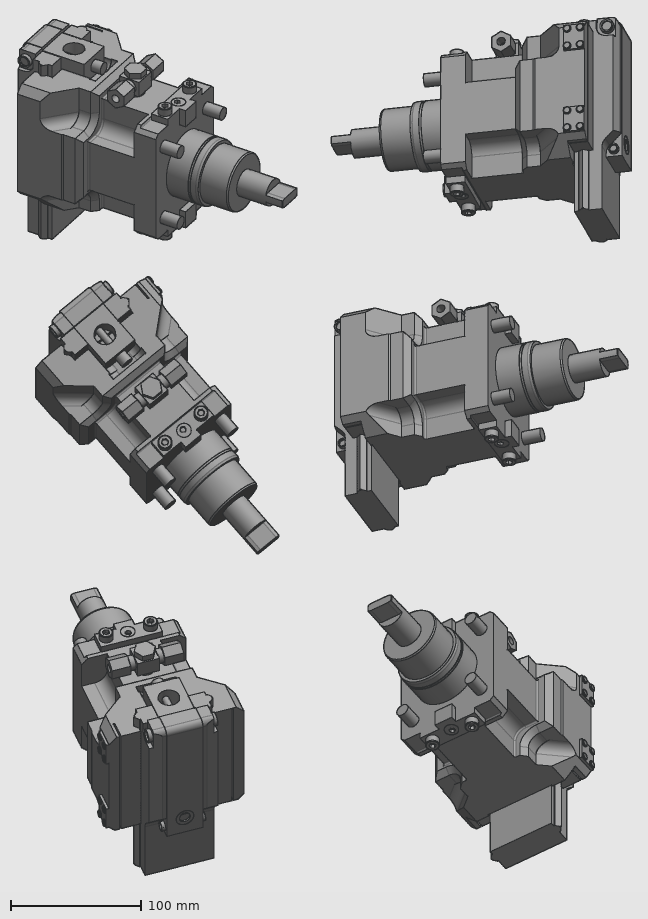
import cadquery as cq
import math


TOLERANCE = 0.01

PILOT_RADIUS = 27.2
PILOT_END = 28.3
PILOT_BEVEL = (2.0, 0.6)
GROOVE_START = 19.4
GROOVE_WIDTH = 1.8
GROOVE_DEPTH = 0.5
NOSE_RADIUS = 24.1
NOSE_END = 53.4
NOSE_BEVEL = (1.4, 0.7)
SHAFT_RADIUS = 11.1
SHAFT_END = 79.3
TANG_END = 94.55
TANG_HALF_THICKNESS = 3.9
TANG_FLAT_HALF_WIDTH = 7.8
TANG_EDGE_HALF_THICKNESS = 3.0
TANG_END_BEVEL = 0.5

BODY_HALF_WIDTH = 42.5
BODY_HALF_HEIGHT = 50.0
WAIST_NOTCH = 21.8
NOTCH_RADIUS = 10.2
WAIST_ROOT_RADIUS = 1.4
FLANGE_START = -19.5
FLANGE_STEP = -16.2
FLANGE_STEP_HALF_HEIGHT = 48.3
FLANGE_STEP_RADIUS = 0.7
FLANGE_BEVEL = 5.0

BOLT_RADIUS = 5.2
BOLT_Y = 31.3
BOLT_Z = 32.5
BOLT_END = 15.3

BAR_START = -14.8
BAR_HALF_WIDTH = 25.1
BAR_OUTER_HEIGHT = 53.9
TONGUE_END = 5.5
TONGUE_HALF_WIDTH = 7.7
TONGUE_DEPTH = 14.8
BAR_SCREW_X = -6.8
BAR_SCREW_Y = 18.1
BAR_SCREW_RADIUS = 5.4
BAR_SCREW_HEAD = 6.3
BAR_SCREW_BEVEL = 0.6
BAR_SCREW_SOCKET = 5.5
BAR_SCREW_SOCKET_DEPTH = 3.5
PLUG_X = -5.7
PLUG_RADIUS = 5.6
PLUG_RECESS = 0.3
PLUG_SOCKET = 5.0

HEAD_FRONT = -117.0
HEAD_STEP = -102.2
HEAD_BEND = -76.0
HEAD_BEVEL_START = -65.5
HEAD_END = -60.7
HEAD_HALF_WIDTH = 55.0
HEAD_REAR_HALF_WIDTH = 54.2
HEAD_TAPER_START = -77.5
HEAD_TOP = 60.0
HEAD_BOTTOM = -BODY_HALF_HEIGHT
HEAD_FRONT_BOTTOM = -40.2
HEAD_TOP_BEVEL = 6.3
HEAD_BOTTOM_BEVEL = 14.5
HEAD_END_BEVEL = HEAD_END - HEAD_BEVEL_START
HEAD_NOTCH_Y = 31.3
HEAD_NOTCH_Z = 30.0
HEAD_NOTCH_FRONT = -96.5
FLARE_RADIUS = 8.1
NOTCH_OVERSHOOT = 15.0
SLIT_Y = 45.7
SLIT_WIDTH = 1.2
SLIT_SKIN = 1.0

SLIDE_FRONT = -124.0
SLIDE_BACK = HEAD_STEP
SLIDE_TOP = 69.7
SLIDE_BOTTOM = -90.0
SLIDE_HALF_WIDTH = 28.1
RIDGE_X = -109.7
RIDGE_HALF_LENGTH = 4.0
RIDGE_HEIGHT = 3.3
RIDGE_END_BEVEL = 1.0
SLOT_HALF_WIDTH = 29.1
SLOT_END = -101.0

COVER_FRONT = -136.5
COVER_BACK = -119.2
COVER_TOP = 73.0
COVER_SIDE_TOP = 72.5
COVER_EDGE_RADIUS = 5.0
COVER_FACE_X = -135.6
COVER_FACE_HALF_WIDTH = 18.0
COVER_SIDE_X = -132.8
COVER_UNDERSIDE_Z = -33.6
COVER_UNDERSIDE_RADIUS = 8.9
BAND_HALF_WIDTH = 14.8
BAND_BOTTOM = -40.4
BAND_SCREW_Z = -25.1
BAND_BORE_RADIUS = 7.2
BAND_BORE_DEPTH = 0.3
BAND_SOCKET_RADIUS = 4.4
BAND_SOCKET_DEPTH = 1.5
TOP_SCREW_X = -127.6
TOP_SCREW_Z = 64.4
TOP_SCREW_RADIUS = 5.3
TOP_SCREW_SOCKET_RADIUS = 4.0
RECESS_RADIUS = COVER_BACK - TOP_SCREW_X
RECESS_Y = 24.6
LOW_SCREW_X = -130.2
LOW_SCREW_Z = -34.7
LOW_SCREW_RADIUS = 3.9
LOW_SCREW_HEAD = 3.0
LOW_SCREW_SOCKET_RADIUS = 2.9
SIDE_SOCKET_DEPTH = 1.5

ARM_END = -81.5
ARM_TOP = 70.4
ARM_HALF_WIDTH = 14.7
POCKET_END = -75.7
POCKET_HALF_WIDTH = 15.3
POCKET_FLOOR = 52.0
POCKET_RADIUS = 7.4
POCKET_HEAD_END = -70.3
POCKET_HEAD_HALF_WIDTH = 16.2
ARM_HOLE_X = -99.7
ARM_HOLE_RADIUS = 8.3
ARM_SCREW_Z = 61.3
ARM_SCREW_HEAD_RADIUS = 5.0
ARM_SCREW_HEAD_END = -73.0
ARM_SCREW_SHANK_RADIUS = 2.9
ARM_SCREW_START = -110.0

FITTING_X = -44.4
FITTING_Z = 59.8
FITTING_STEM_RADIUS = 7.4
FITTING_BOX_HEIGHT = 13.2
FITTING_BOX_LENGTH = 17.7
FITTING_BOX_WIDTH = 18.0
HEX_ACROSS_CORNERS = 17.2
CAP_TOP = 71.4
NECK_RADIUS = 5.9
NUT_START = 13.9
NUT_END = 29.2
NUT_BORE_RADIUS = 3.3
NUT_BORE_DEPTH = 10.0

SIDE_PLATE_LENGTH = 16.3
SIDE_PLATE_HEIGHT = 20.4
SIDE_PLATE_THICKNESS = 2.3
SIDE_PLATE_X = HEAD_FRONT + SIDE_PLATE_LENGTH / 2
SIDE_PLATE_Z = (44.0, -25.2)
SIDE_SCREW_RADIUS = 3.0
SIDE_SCREW_TOP = 58.65
SIDE_SCREW_BEVEL = 0.6


def box(x0, x1, y0, y1, z0, z1):
    """Box between two corners."""
    return cq.Workplane("XY").box(x1 - x0, y1 - y0, z1 - z0, centered=False).translate((x0, y0, z0))


def wide_box(x0, x1, half_width, z0, z1):
    """Box centred on the Y = 0 plane."""
    return box(x0, x1, -half_width, half_width, z0, z1)


def rod_x(x0, x1, y, z, radius):
    """Round rod along X."""
    return cq.Workplane("YZ", origin=(x0, y, z)).circle(radius).extrude(x1 - x0)


def rod_y(x, z, y0, y1, radius):
    """Round rod along Y."""
    return cq.Workplane("XZ", origin=(x, y0, z)).circle(radius).extrude(y0 - y1)


def rod_z(x, y, z0, z1, radius):
    """Round rod along Z."""
    return cq.Workplane("XY", origin=(x, y, z0)).circle(radius).extrude(z1 - z0)


def mirrored(shape, plane):
    """The shape together with its mirror image."""
    return shape.union(shape.mirror(plane))


def make_spindle():
    pilot_bevel_x, pilot_bevel_r = PILOT_BEVEL
    nose_bevel_x, nose_bevel_r = NOSE_BEVEL
    groove_radius = PILOT_RADIUS - GROOVE_DEPTH
    groove_end = GROOVE_START + GROOVE_WIDTH
    outline = [
        (FLANGE_START, 0),
        (FLANGE_START, PILOT_RADIUS),
        (GROOVE_START, PILOT_RADIUS),
        (GROOVE_START, groove_radius),
        (groove_end, groove_radius),
        (groove_end, PILOT_RADIUS),
        (PILOT_END - pilot_bevel_x, PILOT_RADIUS),
        (PILOT_END, PILOT_RADIUS - pilot_bevel_r),
        (PILOT_END, NOSE_RADIUS),
        (NOSE_END - nose_bevel_x, NOSE_RADIUS),
        (NOSE_END, NOSE_RADIUS - nose_bevel_r),
        (NOSE_END, SHAFT_RADIUS),
        (TANG_END - TANG_END_BEVEL, SHAFT_RADIUS),
        (TANG_END, SHAFT_RADIUS - TANG_END_BEVEL),
        (TANG_END, 0),
    ]
    spindle = cq.Workplane("XY").polyline(outline).close().revolve(360, (0, 0, 0), (1, 0, 0))
    tang_quarter = [
        (0, 0),
        (0, TANG_HALF_THICKNESS),
        (TANG_FLAT_HALF_WIDTH, TANG_HALF_THICKNESS),
        (SHAFT_RADIUS, TANG_EDGE_HALF_THICKNESS),
        (SHAFT_RADIUS, 0),
    ]
    tang_length = TANG_END - SHAFT_END
    tang = cq.Workplane("YZ", origin=(SHAFT_END, 0, 0)).polyline(tang_quarter).close().extrude(tang_length)
    tang = mirrored(mirrored(tang, "XZ"), "XY")
    tang_zone = wide_box(SHAFT_END, TANG_END, SHAFT_RADIUS, -SHAFT_RADIUS, SHAFT_RADIUS)
    return spindle.cut(tang_zone.cut(tang))


def make_waist():
    """Block between head and flange with its four long corners notched."""
    waist = wide_box(HEAD_END, FLANGE_START, BODY_HALF_WIDTH, -BODY_HALF_HEIGHT, BODY_HALF_HEIGHT)
    notch = box(HEAD_END, FLANGE_START, WAIST_NOTCH, BODY_HALF_WIDTH, WAIST_NOTCH, BODY_HALF_HEIGHT)
    notch = notch.edges("|X and <Y and <Z").fillet(NOTCH_RADIUS)
    return waist.cut(mirrored(mirrored(notch, "XZ"), "XY"))


def make_flange():
    plate = wide_box(FLANGE_START, 0, BODY_HALF_WIDTH, -BODY_HALF_HEIGHT, BODY_HALF_HEIGHT)
    plate = plate.edges("|X").chamfer(FLANGE_BEVEL)
    step = wide_box(FLANGE_STEP, 0, BODY_HALF_WIDTH, FLANGE_STEP_HALF_HEIGHT, BODY_HALF_HEIGHT)
    step = step.edges("|Y and <X and <Z").fillet(FLANGE_STEP_RADIUS)
    plate = plate.cut(mirrored(step, "XY"))
    for y in (-BOLT_Y, BOLT_Y):
        for z in (-BOLT_Z, BOLT_Z):
            plate = plate.union(rod_x(FLANGE_START, BOLT_END, y, z, BOLT_RADIUS))
    return plate


def hex_socket(x, y, z, across_corners, depth):
    """Hexagonal pocket sinking down from height z."""
    return cq.Workplane("XY", origin=(x, y, z)).polygon(6, across_corners).extrude(-depth)


def make_key_bar():
    """Top key bar with its tongue, two cap screws and the centre plug."""
    bar = wide_box(BAR_START, 0, BAR_HALF_WIDTH, FLANGE_STEP_HALF_HEIGHT, BAR_OUTER_HEIGHT)
    tongue_bottom = BAR_OUTER_HEIGHT - TONGUE_DEPTH
    bar = bar.union(wide_box(0, TONGUE_END, TONGUE_HALF_WIDTH, tongue_bottom, BAR_OUTER_HEIGHT))
    recess_bottom = BAR_OUTER_HEIGHT - PLUG_RECESS
    bar = bar.cut(rod_z(PLUG_X, 0, recess_bottom, BAR_OUTER_HEIGHT, PLUG_RADIUS))
    bar = bar.cut(hex_socket(BAR_SCREW_X, 0, BAR_OUTER_HEIGHT, PLUG_SOCKET, BAR_SCREW_SOCKET_DEPTH))
    head_top = BAR_OUTER_HEIGHT + BAR_SCREW_HEAD
    for y in (-BAR_SCREW_Y, BAR_SCREW_Y):
        head = rod_z(BAR_SCREW_X, y, BAR_OUTER_HEIGHT, head_top, BAR_SCREW_RADIUS)
        head = head.faces(">Z").edges().chamfer(BAR_SCREW_BEVEL)
        head = head.cut(hex_socket(BAR_SCREW_X, y, head_top, BAR_SCREW_SOCKET, BAR_SCREW_SOCKET_DEPTH))
        bar = bar.union(head)
    return bar


def head_notch():
    """Upper +Y corner notch of the head: a straight rear part and a part that flares out forwards."""
    outer_y = HEAD_HALF_WIDTH + NOTCH_OVERSHOOT
    straight = box(HEAD_BEND, HEAD_END, HEAD_NOTCH_Y, outer_y, HEAD_NOTCH_Z, HEAD_TOP)
    straight = straight.edges("|X and <Y and <Z").fillet(NOTCH_RADIUS)
    flare_slope = (HEAD_BEND - HEAD_NOTCH_FRONT) / (HEAD_HALF_WIDTH - HEAD_NOTCH_Y)
    plan = [
        (HEAD_NOTCH_FRONT - flare_slope * NOTCH_OVERSHOOT, outer_y),
        (HEAD_BEND, HEAD_NOTCH_Y),
        (HEAD_BEND, outer_y),
    ]
    height = HEAD_TOP - HEAD_NOTCH_Z
    flare = cq.Workplane("XY", origin=(0, 0, HEAD_NOTCH_Z)).polyline(plan).close().extrude(height)
    flare = flare.faces("<Z").edges("not(>X or >Y)").fillet(FLARE_RADIUS)
    return straight.union(flare)


def make_head():
    half_plan = [
        (HEAD_FRONT, 0),
        (HEAD_FRONT, HEAD_HALF_WIDTH),
        (HEAD_TAPER_START, HEAD_HALF_WIDTH),
        (HEAD_BEND, HEAD_REAR_HALF_WIDTH),
        (HEAD_END, HEAD_REAR_HALF_WIDTH),
        (HEAD_END, 0),
    ]
    height = HEAD_TOP - HEAD_BOTTOM
    half = cq.Workplane("XY", origin=(0, 0, HEAD_BOTTOM)).polyline(half_plan).close().extrude(height)
    section = [
        (0, HEAD_BOTTOM),
        (0, HEAD_TOP),
        (HEAD_HALF_WIDTH - HEAD_TOP_BEVEL, HEAD_TOP),
        (HEAD_HALF_WIDTH, HEAD_TOP - HEAD_TOP_BEVEL),
        (HEAD_HALF_WIDTH, HEAD_BOTTOM + HEAD_BOTTOM_BEVEL),
        (HEAD_HALF_WIDTH - HEAD_BOTTOM_BEVEL, HEAD_BOTTOM),
    ]
    length = HEAD_END - HEAD_FRONT
    half = half.intersect(
        cq.Workplane("YZ", origin=(HEAD_FRONT, 0, 0)).polyline(section).close().extrude(length)
    )
    notch = head_notch()
    half = half.cut(notch).cut(notch.mirror("XY"))
    half = half.faces(">X").edges("not(<Z or <Y)").chamfer(HEAD_END_BEVEL)
    head = mirrored(half, "XZ")
    head = head.cut(wide_box(HEAD_FRONT, HEAD_STEP, HEAD_HALF_WIDTH, HEAD_BOTTOM, HEAD_FRONT_BOTTOM))
    head = head.cut(wide_box(HEAD_FRONT, SLOT_END, SLOT_HALF_WIDTH, HEAD_BOTTOM, HEAD_TOP))
    slit = box(HEAD_FRONT, HEAD_STEP, SLIT_Y - SLIT_WIDTH / 2, SLIT_Y + SLIT_WIDTH / 2, HEAD_BOTTOM, HEAD_TOP)
    closed_slit = slit.mirror("XZ").translate((0, 0, -SLIT_SKIN))
    return head.cut(slit).cut(closed_slit).cut(arm_pocket())


def arm_pocket():
    """Stepped pocket with rounded floor edges that takes the clamp arm and its screw head."""
    pocket = wide_box(SLOT_END, POCKET_END, POCKET_HALF_WIDTH, POCKET_FLOOR, HEAD_TOP)
    pocket = pocket.edges("|X and <Z").fillet(POCKET_RADIUS)
    end = wide_box(POCKET_END, POCKET_HEAD_END, POCKET_HEAD_HALF_WIDTH, POCKET_FLOOR, HEAD_TOP)
    return pocket.union(end.edges("|X and <Z").fillet(POCKET_RADIUS))


def make_slide():
    """Vertical slide plate with a V ridge along each side."""
    height = SLIDE_TOP - SLIDE_BOTTOM
    slide = wide_box(SLIDE_FRONT, SLIDE_BACK, SLIDE_HALF_WIDTH, SLIDE_BOTTOM, SLIDE_TOP)
    ridge_plan = [
        (RIDGE_X - RIDGE_HALF_LENGTH, SLIDE_HALF_WIDTH),
        (RIDGE_X - RIDGE_HALF_LENGTH, SLOT_HALF_WIDTH),
        (RIDGE_X, SLOT_HALF_WIDTH + RIDGE_HEIGHT),
        (RIDGE_X + RIDGE_HALF_LENGTH, SLOT_HALF_WIDTH),
        (RIDGE_X + RIDGE_HALF_LENGTH, SLIDE_HALF_WIDTH),
    ]
    ridge = cq.Workplane("XY", origin=(0, 0, SLIDE_BOTTOM)).polyline(ridge_plan).close().extrude(height)
    limit = wide_box(SLIDE_FRONT, SLIDE_BACK, SLOT_HALF_WIDTH + RIDGE_HEIGHT, SLIDE_BOTTOM, SLIDE_TOP)
    limit = limit.edges("|X").chamfer(RIDGE_END_BEVEL)
    return slide.union(mirrored(ridge, "XZ").intersect(limit))


def cover_wings():
    """Side parts of the cover: tapered plan and a sloping underside that blends into the slide."""
    plan = [
        (COVER_BACK, -SLIDE_HALF_WIDTH),
        (COVER_SIDE_X, -SLIDE_HALF_WIDTH),
        (COVER_FACE_X, -COVER_FACE_HALF_WIDTH),
        (COVER_FACE_X, COVER_FACE_HALF_WIDTH),
        (COVER_SIDE_X, SLIDE_HALF_WIDTH),
        (COVER_BACK, SLIDE_HALF_WIDTH),
    ]
    height = COVER_SIDE_TOP - SLIDE_BOTTOM
    wings = cq.Workplane("XY", origin=(0, 0, SLIDE_BOTTOM)).polyline(plan).close().extrude(height)
    slope_angle = math.radians(45)
    tangent_length = COVER_UNDERSIDE_RADIUS * math.tan(slope_angle / 2)
    blend_z = COVER_UNDERSIDE_Z - tangent_length
    centre_x = SLIDE_FRONT - COVER_UNDERSIDE_RADIUS

    def on_blend(angle):
        x = centre_x + COVER_UNDERSIDE_RADIUS * math.cos(angle)
        return x, blend_z + COVER_UNDERSIDE_RADIUS * math.sin(angle)

    slope_rise = SLIDE_FRONT - COVER_FACE_X
    side = (
        cq.Workplane("XZ")
        .moveTo(COVER_BACK, COVER_SIDE_TOP)
        .lineTo(COVER_FACE_X, COVER_SIDE_TOP)
        .lineTo(COVER_FACE_X, COVER_UNDERSIDE_Z + slope_rise)
        .lineTo(*on_blend(slope_angle))
        .threePointArc(on_blend(slope_angle / 2), (SLIDE_FRONT, blend_z))
        .lineTo(COVER_BACK, blend_z)
        .close()
        .extrude(SLIDE_HALF_WIDTH, both=True)
    )
    side = side.edges("|Y and <X and >Z").fillet(COVER_EDGE_RADIUS)
    return wings.intersect(side)


def side_recess():
    """Recess for the upper cover screw, open towards the top, the front and the -Y side."""
    y0 = -SLIDE_HALF_WIDTH
    right = TOP_SCREW_X + RECESS_RADIUS
    recess = rod_y(TOP_SCREW_X, TOP_SCREW_Z, y0, -RECESS_Y, RECESS_RADIUS)
    recess = recess.union(box(COVER_FRONT, right, y0, -RECESS_Y, TOP_SCREW_Z, COVER_TOP))
    low = TOP_SCREW_Z - RECESS_RADIUS
    return recess.union(box(COVER_FRONT, TOP_SCREW_X, y0, -RECESS_Y, low, TOP_SCREW_Z))


def cover_screw(x, z, y_seat, y_head, radius, socket_radius):
    """Screw heads on both sides of the cover, each with a round socket."""
    head = rod_y(x, z, y_head, y_seat, radius)
    head = head.cut(rod_y(x, z, y_head, y_head + SIDE_SOCKET_DEPTH, socket_radius))
    return mirrored(head, "XZ")


def make_covered_slide():
    """Cover on the slide: wings, raised centre band and the screw heads in its sides."""
    band = wide_box(COVER_FRONT, COVER_BACK, BAND_HALF_WIDTH, BAND_BOTTOM, COVER_TOP)
    band = band.edges("|Y and <X and >Z").fillet(COVER_EDGE_RADIUS)
    bore_end = COVER_FRONT + BAND_BORE_DEPTH
    band = band.cut(rod_x(COVER_FRONT, bore_end, 0, BAND_SCREW_Z, BAND_BORE_RADIUS))
    socket_end = bore_end + BAND_SOCKET_DEPTH
    band = band.cut(rod_x(bore_end, socket_end, 0, BAND_SCREW_Z, BAND_SOCKET_RADIUS))
    top_screw = cover_screw(
        TOP_SCREW_X, TOP_SCREW_Z, -RECESS_Y, -SLIDE_HALF_WIDTH, TOP_SCREW_RADIUS, TOP_SCREW_SOCKET_RADIUS
    )
    low_head = -BAND_HALF_WIDTH - LOW_SCREW_HEAD
    low_screw = cover_screw(
        LOW_SCREW_X, LOW_SCREW_Z, -BAND_HALF_WIDTH, low_head, LOW_SCREW_RADIUS, LOW_SCREW_SOCKET_RADIUS
    )
    cover = make_slide().union(cover_wings()).cut(mirrored(side_recess(), "XZ"))
    return cover.union(band).union(top_screw).union(low_screw)


def make_arm():
    """Clamp arm from the cover into the pocket of the head."""
    return wide_box(COVER_BACK, ARM_END, ARM_HALF_WIDTH, POCKET_FLOOR, ARM_TOP)


def arm_hole():
    """Vertical hole through the arm, also cutting into the slide beside it."""
    return rod_z(ARM_HOLE_X, 0, POCKET_FLOOR, ARM_TOP, ARM_HOLE_RADIUS)


def make_arm_screw():
    """Clamp screw whose shank crosses the arm hole."""
    shank = rod_x(ARM_SCREW_START, ARM_END, 0, ARM_SCREW_Z, ARM_SCREW_SHANK_RADIUS)
    return shank.union(rod_x(ARM_END, ARM_SCREW_HEAD_END, 0, ARM_SCREW_Z, ARM_SCREW_HEAD_RADIUS))


def make_fitting():
    """Coolant elbow: stem, square box, hexagonal cap and two side nuts."""
    box_bottom = FITTING_Z - FITTING_BOX_HEIGHT / 2
    box_top = FITTING_Z + FITTING_BOX_HEIGHT / 2
    half_length = FITTING_BOX_LENGTH / 2
    fitting = rod_z(FITTING_X, 0, BODY_HALF_HEIGHT, box_bottom, FITTING_STEM_RADIUS)
    fitting = fitting.union(
        wide_box(FITTING_X - half_length, FITTING_X + half_length, FITTING_BOX_WIDTH / 2, box_bottom, box_top)
    )
    cap = cq.Workplane("XY").polygon(6, HEX_ACROSS_CORNERS).extrude(CAP_TOP - box_top)
    fitting = fitting.union(cap.rotate((0, 0, 0), (0, 0, 1), 90).translate((FITTING_X, 0, box_top)))
    nut = cq.Workplane("XZ").polygon(6, HEX_ACROSS_CORNERS).extrude(NUT_END - NUT_START)
    nut = nut.rotate((0, 0, 0), (0, 1, 0), 90).translate((FITTING_X, -NUT_START, FITTING_Z))
    nut = nut.cut(rod_y(FITTING_X, FITTING_Z, -NUT_END, -NUT_END + NUT_BORE_DEPTH, NUT_BORE_RADIUS))
    side = nut.union(rod_y(FITTING_X, FITTING_Z, -NUT_START, 0, NECK_RADIUS))
    return fitting.union(mirrored(side, "XZ"))


def make_side_plates():
    """Two small plates on the +Y side, each held by four corner screws."""
    plate_top = HEAD_HALF_WIDTH + SIDE_PLATE_THICKNESS
    half_length = SIDE_PLATE_LENGTH / 2
    half_height = SIDE_PLATE_HEIGHT / 2
    plates = cq.Workplane("XY")
    for z in SIDE_PLATE_Z:
        plates = plates.union(
            box(
                SIDE_PLATE_X - half_length,
                SIDE_PLATE_X + half_length,
                HEAD_HALF_WIDTH,
                plate_top,
                z - half_height,
                z + half_height,
            )
        )
        for side_x in (-1, 1):
            for side_z in (-1, 1):
                screw_x = SIDE_PLATE_X + side_x * (half_length - SIDE_SCREW_RADIUS)
                screw_z = z + side_z * (half_height - SIDE_SCREW_RADIUS)
                screw = rod_y(screw_x, screw_z, HEAD_HALF_WIDTH, SIDE_SCREW_TOP, SIDE_SCREW_RADIUS)
                plates = plates.union(screw.faces(">Y").edges().chamfer(SIDE_SCREW_BEVEL))
    return plates


def make_body():
    """Head and waist with a rounded root where the waist leaves the head."""
    body = make_head().union(make_waist())
    section = make_waist().faces("<X").val()
    section_edges = [edge.Center() for edge in section.Edges()]
    root = body.edges().filter(
        lambda edge: any((edge.Center() - centre).Length < TOLERANCE for centre in section_edges)
    )
    return root.fillet(WAIST_ROOT_RADIUS)


housing = make_body().union(make_flange()).union(make_spindle())
front = make_covered_slide().union(make_arm())
result = housing.union(front).cut(arm_hole()).union(make_arm_screw())
result = result.union(mirrored(make_key_bar(), "XY")).union(make_fitting()).union(make_side_plates())